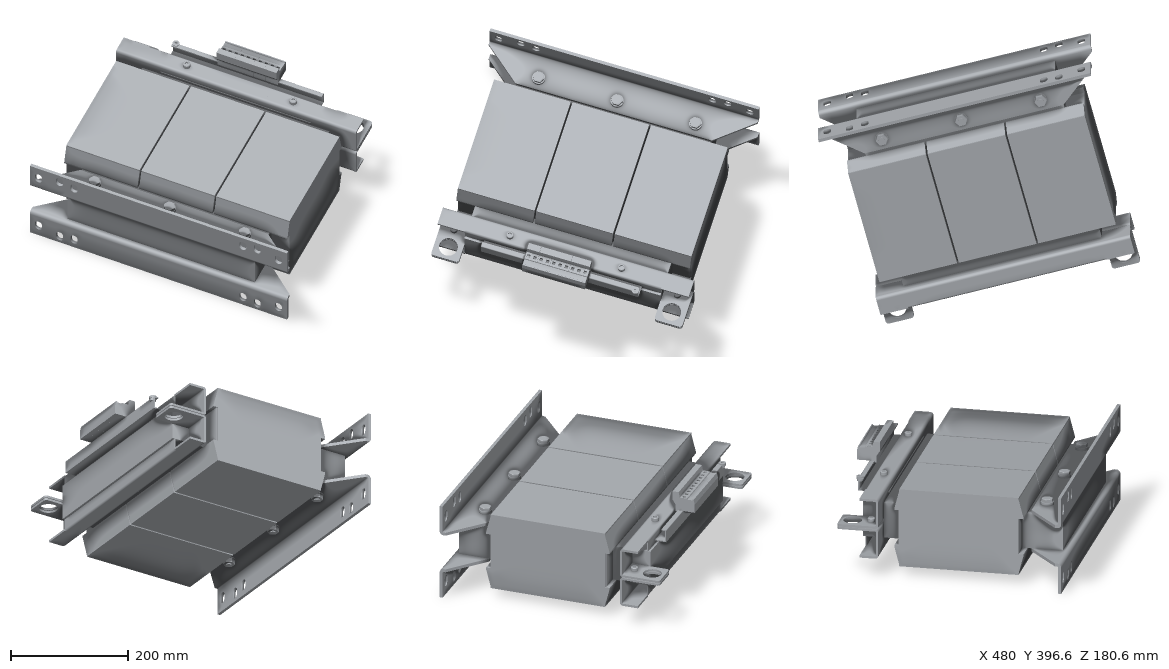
import cadquery as cq
import math


leg_width = 70.0
leg_pitch = 2 * leg_width
leg_positions = [-leg_pitch, 0.0, leg_pitch]
core_width = 5 * leg_width
core_front = 11.0
core_back = 359.0
core_half_height = 32.0
window_front = core_front + leg_width
window_back = core_back - leg_width

coil_width = 136.8
coil_half_height = 69.7
coil_overhang = 8.5
coil_edge_height = 2.7
spacer_thickness = 1.8
spacer_width = coil_width - 4.0

foot_length = 480.0
foot_thickness = 5.5
foot_outer_z = 86.55
foot_depth = 65.5
foot_outer_radius = 7.0
slot_width = 13.0
slot_length = 20.0
slot_places = [(224.0, 61.6), (184.5, 70.7), (157.5, 66.7)]

core_bolt_y = 45.7
core_washer_diameter = 22.5
core_bolt_flats = 18.0
core_bolt_shank = 10.0
core_bolt_face_diameter = 15.0
core_bolt_edge_height = 1.0
core_bolt_washer_height = 5.0
core_bolt_head_height = 6.0
core_nut_washer_height = 1.5
core_nut_height = 7.5
core_bolt_tip = 2.0

channel_length = 448.0
channel_thickness = 4.0
channel_outer_radius = 5.5
channel_front = 322.3
channel_back = 354.9
channel_outer_z = 53.5
channel_inner_z = 0.5
lip_thickness = 2.0
lip_outer_radius = 3.5
lug_width = 49.5
lug_back = 394.0
lug_corner_radius = 5.0
lug_x = (channel_length - lug_width) / 2
lifting_hole_diameter = 32.0
lifting_hole_y = 372.0

rear_bolt_x = 99.5
rear_bolt_y = 339.5
rear_head_diameter = 12.5
rear_head_height = 7.0
rear_head_chamfer = 1.0
rear_socket_flats = 6.5
rear_socket_depth = 3.0
rear_bolt_shank = 5.5

rail_length = 281.0
rail_thickness = 2.0
rail_front = 320.7
rail_back = 375.0
rail_bottom = 37.0
rail_top = 59.7
rail_bend_radius = 1.5
rail_flange_front = 366.0
ground_screw_x = -134.6
ground_screw_y = 373.3
ground_nut_diameter = 10.0
ground_nut_bottom = 53.0
ground_screw_top = 61.5
ground_head_diameter = 12.5
ground_head_height = 4.5
ground_socket_diameter = 5.0
ground_socket_depth = 2.5

block_poles = [3, 3, 2, 2]
pole_pitch = 11.22
blocks_start = -51.7
block_gap = 0.1
block_back = 396.65
block_rear_edge = 394.65
block_recess_back = 392.0
block_recess_front = 383.0
block_recess_draft = 0.7
block_ridge_back = 369.5
block_ridge_draft = 2.0
block_front = 356.5
block_foot_front = 362.0
block_foot_bottom = 57.0
block_bottom = rail_top
block_foot_top = 69.2
block_front_bottom = 78.0
block_rear_top = 75.2
block_recess_floor = 82.5
block_shoulder = 84.2
block_top = 94.0
entry_size = 5.5
entry_y = 375.9
entry_depth = 5.0


def box(x_range, y_range, z_range):
    """Box between the given limits."""
    (x0, x1), (y0, y1), (z0, z1) = x_range, y_range, z_range
    return cq.Workplane("XY").box(x1 - x0, y1 - y0, z1 - z0, centered=False).translate((x0, y0, z0))


def extrude_along_x(profile, length, center_x=0.0):
    """Closed YZ profile extruded symmetrically about center_x."""
    return profile.extrude(length / 2, both=True).translate((center_x, 0, 0))


def rod(x, y, bottom, top, diameter):
    """Vertical cylinder."""
    return cq.Workplane("XY", origin=(x, y, bottom)).circle(diameter / 2).extrude(top - bottom)


def hexagon(x, y, bottom, top, flats):
    """Vertical hexagonal prism with corners on the X axis."""
    corner_diameter = flats / math.cos(math.pi / 6)
    return cq.Workplane("XY", origin=(x, y, bottom)).polygon(6, corner_diameter).extrude(top - bottom)


def mirror_z(body):
    return body.mirror("XY")


def make_core():
    core = box(
        (-core_width / 2, core_width / 2),
        (core_front, core_back),
        (-core_half_height, core_half_height),
    )
    for side in (-1, 1):
        window = cq.Workplane("XY").box(leg_width, window_back - window_front, 2 * core_half_height)
        core = core.cut(window.translate((side * leg_width, (window_front + window_back) / 2, 0)))
    return core


def make_coil(x):
    """Coil filling the windows, with tapered ends that overhang the yokes above and below the core."""
    cap_profile = cq.Workplane("YZ").polyline([
        (window_front - coil_overhang, core_half_height),
        (window_back + coil_overhang, core_half_height),
        (window_back + coil_overhang, core_half_height + coil_edge_height),
        (window_back, coil_half_height - coil_edge_height),
        (window_back, coil_half_height),
        (window_front, coil_half_height),
        (window_front, coil_half_height - coil_edge_height),
        (window_front - coil_overhang, core_half_height + coil_edge_height),
    ]).close()
    cap = extrude_along_x(cap_profile, coil_width, x)
    waist = box(
        (x - coil_width / 2, x + coil_width / 2),
        (window_front, window_back),
        (-core_half_height, core_half_height),
    )
    spacer = box(
        (x - spacer_width / 2, x + spacer_width / 2),
        (window_back, window_back + spacer_thickness),
        (-core_half_height, core_half_height),
    )
    return waist.union(cap).union(mirror_z(cap)).union(spacer)


def make_upper_foot():
    """Angle bracket whose horizontal leg tapers to the width of the core."""
    horizontal_top = core_half_height + foot_thickness
    inner_radius = foot_outer_radius - foot_thickness
    profile = (
        cq.Workplane("YZ")
        .moveTo(0, foot_outer_z)
        .lineTo(0, core_half_height + foot_outer_radius)
        .radiusArc((foot_outer_radius, core_half_height), -foot_outer_radius)
        .lineTo(foot_depth, core_half_height)
        .lineTo(foot_depth, horizontal_top)
        .lineTo(foot_outer_radius, horizontal_top)
        .radiusArc((foot_thickness, horizontal_top + inner_radius), inner_radius)
        .lineTo(foot_thickness, foot_outer_z)
        .close()
    )
    plan = (
        cq.Workplane("XY")
        .polyline([
            (-foot_length / 2, 0),
            (foot_length / 2, 0),
            (foot_length / 2, core_front),
            (core_width / 2, foot_depth),
            (-core_width / 2, foot_depth),
            (-foot_length / 2, core_front),
        ])
        .close()
        .extrude(foot_outer_z)
    )
    slots = (
        cq.Workplane("XZ")
        .pushPoints([(side * x, z) for side in (-1, 1) for x, z in slot_places])
        .slot2D(slot_length, slot_width, 90)
        .extrude(-foot_thickness)
    )
    return extrude_along_x(profile, foot_length).intersect(plan).cut(slots)


def make_core_bolt(x):
    plate_z = core_half_height + foot_thickness
    washer_top = plate_z + core_bolt_washer_height
    nut_top = -plate_z - core_nut_washer_height
    nut_bottom = nut_top - core_nut_height
    head_top = washer_top + core_bolt_head_height
    washer = rod(x, core_bolt_y, plate_z, washer_top, core_washer_diameter)
    head_envelope = (
        rod(x, core_bolt_y, washer_top, head_top, core_washer_diameter)
        .faces(">Z")
        .chamfer(core_bolt_edge_height, (core_washer_diameter - core_bolt_face_diameter) / 2)
    )
    head = hexagon(x, core_bolt_y, washer_top, head_top, core_bolt_flats).intersect(head_envelope)
    nut_washer = rod(x, core_bolt_y, nut_top, -plate_z, core_washer_diameter)
    nut = hexagon(x, core_bolt_y, nut_bottom, nut_top, core_bolt_flats)
    tip = rod(x, core_bolt_y, nut_bottom - core_bolt_tip, nut_bottom, core_bolt_shank)
    return washer.union(head).union(nut_washer).union(nut).union(tip)


def make_upper_channel():
    """C-shaped channel with its open side to the back, a lip over the core and a lug at each end."""
    outer = box(
        (-channel_length / 2, channel_length / 2),
        (channel_front, channel_back),
        (channel_inner_z, channel_outer_z),
    ).edges("|X and <Y").fillet(channel_outer_radius)
    hollow = box(
        (-channel_length / 2, channel_length / 2),
        (channel_front + channel_thickness, channel_back),
        (channel_inner_z + channel_thickness, channel_outer_z - channel_thickness),
    ).edges("|X and <Y").fillet(channel_outer_radius - channel_thickness)
    channel = outer.cut(hollow)
    lip = box(
        (-core_width / 2, core_width / 2),
        (channel_back - lip_thickness, channel_back),
        (core_half_height, channel_outer_z),
    )
    channel = channel.union(lip)
    bend_stock = box(
        (-core_width / 2, core_width / 2),
        (channel_back - lip_outer_radius, channel_back),
        (channel_outer_z - lip_outer_radius, channel_outer_z),
    )
    bend = extrude_along_x(
        cq.Workplane("YZ")
        .center(channel_back - lip_outer_radius, channel_outer_z - lip_outer_radius)
        .circle(lip_outer_radius),
        core_width,
    )
    channel = channel.cut(bend_stock.cut(bend))
    for side in (-1, 1):
        channel = channel.union(make_lug(side * lug_x))
        hole = rod(side * lug_x, lifting_hole_y, 0, channel_outer_z / 2, lifting_hole_diameter)
        channel = channel.cut(hole)
    return channel


def make_lug(x):
    return box(
        (x - lug_width / 2, x + lug_width / 2),
        (channel_back - channel_outer_radius, lug_back),
        (channel_inner_z, channel_inner_z + channel_thickness),
    ).edges("|Z and >Y").fillet(lug_corner_radius)


def make_socket_head(x, bottom):
    """Chamfered cylindrical bolt head with a hexagon socket."""
    top = bottom + rear_head_height
    head = rod(x, rear_bolt_y, bottom, top, rear_head_diameter).faces(">Z").chamfer(rear_head_chamfer)
    return head.cut(hexagon(x, rear_bolt_y, top - rear_socket_depth, top, rear_socket_flats))


def make_rail_bolt(x):
    """Bolt through the upper channel flange and the rail down to the core."""
    shank = rod(x, rear_bolt_y, core_half_height, channel_outer_z, rear_bolt_shank)
    return shank.union(make_socket_head(x, channel_outer_z))


def make_lug_bolt(x):
    """Bolt head on the lug flange of the upper channel."""
    return make_socket_head(x, channel_inner_z + channel_thickness)


def make_rail():
    rail_x = (-rail_length / 2, rail_length / 2)
    base = box(rail_x, (rail_front, rail_back), (rail_bottom, rail_bottom + rail_thickness))
    wall = box(rail_x, (rail_back - rail_thickness, rail_back), (rail_bottom, rail_top))
    flange = box(rail_x, (rail_flange_front, rail_back), (rail_top - rail_thickness, rail_top))
    rail = base.union(wall).union(flange)
    return rail.edges("|X and >Y and >Z").fillet(rail_bend_radius)


def make_ground_screw():
    head_bottom = ground_screw_top - ground_head_height
    nut = rod(ground_screw_x, ground_screw_y, ground_nut_bottom, head_bottom, ground_nut_diameter)
    head = rod(ground_screw_x, ground_screw_y, head_bottom, ground_screw_top, ground_head_diameter)
    socket = (
        cq.Workplane("XY", origin=(ground_screw_x, ground_screw_y, ground_screw_top))
        .polygon(6, ground_socket_diameter)
        .extrude(-ground_socket_depth)
    )
    return nut.union(head).cut(socket)


def make_terminal_block(start_x, poles):
    """Terminal block with one square wire entry per pole, seated on the rail flange."""
    width = poles * pole_pitch - block_gap
    profile = cq.Workplane("YZ").polyline([
        (block_back, block_bottom),
        (block_back, block_rear_top),
        (block_rear_edge, block_shoulder),
        (block_recess_back + block_recess_draft, block_shoulder),
        (block_recess_back, block_recess_floor),
        (block_recess_front, block_recess_floor),
        (block_recess_front - block_recess_draft, block_shoulder),
        (block_ridge_back, block_shoulder),
        (block_ridge_back - block_ridge_draft, block_top),
        (block_front, block_top),
        (block_front, block_front_bottom),
        (block_foot_front, block_foot_top),
        (block_foot_front, block_foot_bottom),
        (rail_flange_front, block_foot_bottom),
        (rail_flange_front, block_bottom),
    ]).close()
    block = extrude_along_x(profile, width, start_x + width / 2)
    entries = (
        cq.Workplane("XY", origin=(start_x - block_gap / 2, entry_y, block_shoulder))
        .pushPoints([((pole + 0.5) * pole_pitch, 0) for pole in range(poles)])
        .rect(entry_size, entry_size)
        .extrude(-entry_depth)
    )
    return block.cut(entries)


upper_foot = make_upper_foot()
upper_channel = make_upper_channel()

result = make_core()
for leg_position in leg_positions:
    result = result.union(make_coil(leg_position))
    result = result.union(make_core_bolt(leg_position))
for clamp in (upper_foot, upper_channel):
    result = result.union(clamp).union(mirror_z(clamp))
for end in (-1, 1):
    result = result.union(make_rail_bolt(end * rear_bolt_x))
    result = result.union(make_lug_bolt(end * lug_x))
result = result.union(make_rail()).union(make_ground_screw())

block_start = blocks_start
for pole_count in block_poles:
    result = result.union(make_terminal_block(block_start, pole_count))
    block_start += pole_count * pole_pitch